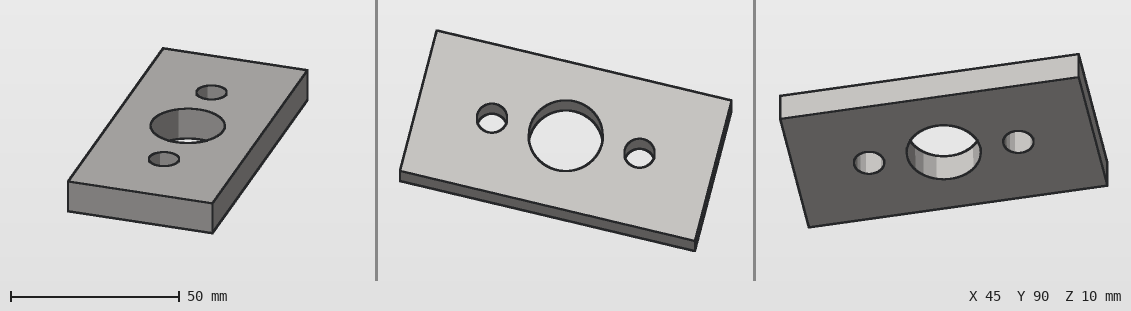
import cadquery as cq

length = 90.0
width = length / 2
thickness = 10.0

bore_diameter = 22.0
bolt_hole_diameter = 9.0
bolt_hole_spacing = length / 2

plate = cq.Workplane("XY").box(width, length, thickness)

plate = plate.faces(">Z").workplane().hole(bore_diameter)

bolt_hole_centres = [(0, -bolt_hole_spacing / 2), (0, bolt_hole_spacing / 2)]
result = plate.faces(">Z").workplane().pushPoints(bolt_hole_centres).hole(bolt_hole_diameter)